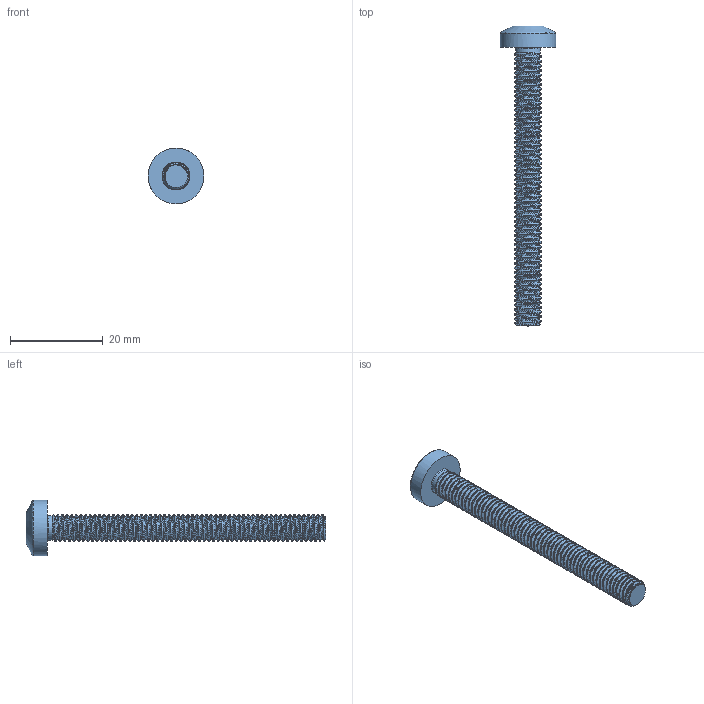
import cadquery as cq
import math


head_radius = 6.0
head_height = 4.6
rim_height = 3.2
top_flat_radius = 3.2
rim_fillet = 0.25

shank_length = 60.0
neck_length = 1.0
neck_fillet = 0.2
thread_radius = 3.0
pitch = 1.0
triangle_height = pitch * math.sqrt(3) / 2
root_radius = thread_radius - triangle_height * 5 / 8
neck_radius = thread_radius - triangle_height * 3 / 8
start_taper_length = 0.75 * pitch
tip_chamfer_length = thread_radius - root_radius

crest_angle = 360 / 8
root_angle = 360 / 4
flank_angle = (360 - crest_angle - root_angle) / 2
flank_points = 6
thread_start_angle = 0.0

thread_turns = round((shank_length - neck_length) / pitch)
turns_per_segment = 6
joint_tolerance = 0.001

cutter_overshoot = 0.1


def make_head():
    """Flat-topped cone on a cylindrical rim, with the rim's upper edge rounded."""
    head = (
        cq.Workplane("XY")
        .lineTo(head_radius, 0)
        .lineTo(head_radius, rim_height)
        .lineTo(top_flat_radius, head_height)
        .lineTo(0, head_height)
        .close()
        .revolve(360, (0, 0, 0), (0, 1, 0))
    )
    rim_edge = head.edges("%CIRCLE").edges(">>Y[-2]")
    return rim_edge.fillet(rim_fillet)


def make_neck():
    """Plain neck between the head and the thread, with a fillet below the head."""
    fillet_outer_radius = neck_radius + neck_fillet
    mid_radius = fillet_outer_radius - neck_fillet * math.cos(math.radians(45))
    mid_y = -neck_fillet + neck_fillet * math.sin(math.radians(45))
    return (
        cq.Workplane("XY")
        .lineTo(fillet_outer_radius, 0)
        .threePointArc((mid_radius, mid_y), (neck_radius, -neck_fillet))
        .lineTo(neck_radius, -neck_length)
        .lineTo(0, -neck_length)
        .close()
        .revolve(360, (0, 0, 0), (0, 1, 0))
    )


def polar_point(radius, angle):
    """Point at a radius and an angle in degrees."""
    turn = math.radians(angle)
    return (radius * math.cos(turn), radius * math.sin(turn))


def flank(start_radius, end_radius, start_angle):
    """Spiral that is the cross-section of a straight thread flank, less its first point."""
    steps = [i / flank_points for i in range(1, flank_points + 1)]
    return [
        polar_point(start_radius + (end_radius - start_radius) * s, start_angle + flank_angle * s)
        for s in steps
    ]


def make_thread_segment(first_turn):
    """Length of thread made by twisting its cross-section along the axis."""
    turns = min(turns_per_segment, thread_turns - first_turn)
    crest_start = thread_start_angle - crest_angle / 2
    crest_end = crest_start + crest_angle
    root_start = crest_end + flank_angle
    root_end = root_start + root_angle
    return (
        cq.Workplane("XZ", origin=(0, -neck_length - first_turn * pitch, 0))
        .moveTo(*polar_point(thread_radius, crest_start))
        .threePointArc(
            polar_point(thread_radius, thread_start_angle),
            polar_point(thread_radius, crest_end),
        )
        .spline(flank(thread_radius, root_radius, crest_end), includeCurrent=True)
        .threePointArc(
            polar_point(root_radius, root_start + root_angle / 2),
            polar_point(root_radius, root_end),
        )
        .spline(flank(root_radius, thread_radius, root_end), includeCurrent=True)
        .close()
        .twistExtrude(turns * pitch, 360 * turns)
    )


def make_end_cutter(end_y, end_radius, taper_length):
    """Ring that tapers the thread from full size to end_radius at end_y.

    The taper runs from end_y by taper_length along Y, which carries a sign.
    """
    slope = taper_length / (thread_radius - end_radius)
    inner_radius = end_radius - cutter_overshoot
    outer_radius = thread_radius + cutter_overshoot
    overshoot_y = cutter_overshoot * slope
    return (
        cq.Workplane("XY")
        .moveTo(inner_radius, end_y - overshoot_y)
        .lineTo(outer_radius, end_y - overshoot_y)
        .lineTo(outer_radius, end_y + taper_length + overshoot_y)
        .close()
        .revolve(360, (0, 0, 0), (0, 1, 0))
    )


def is_joint_face(face, joints):
    """True for a flat face lying across the thread at one of the joints."""
    is_flat = face.geomType() == "PLANE"
    return is_flat and any(abs(face.Center().y - joint) < joint_tolerance for joint in joints)


def make_screw():
    """Head, neck and thread segments joined into one solid.

    Neighbouring segments meet in identical flat faces, so these are left out
    and the remaining faces are sewn into one closed shell.
    """
    first_turns = list(range(0, thread_turns, turns_per_segment))
    pieces = [make_thread_segment(turn) for turn in first_turns]

    start_cutter = make_end_cutter(-neck_length, neck_radius, -start_taper_length)
    head_and_neck = make_head().union(make_neck())
    pieces[0] = pieces[0].cut(start_cutter).union(head_and_neck)

    tip_cutter = make_end_cutter(-shank_length, root_radius, tip_chamfer_length)
    pieces[-1] = pieces[-1].cut(tip_cutter)

    joints = [-neck_length - turn * pitch for turn in first_turns[1:]]
    faces = [face for piece in pieces for face in piece.faces().vals()]
    outer_faces = [face for face in faces if not is_joint_face(face, joints)]
    return cq.Workplane(cq.Solid.makeSolid(cq.Shell.makeShell(outer_faces)))


result = make_screw()